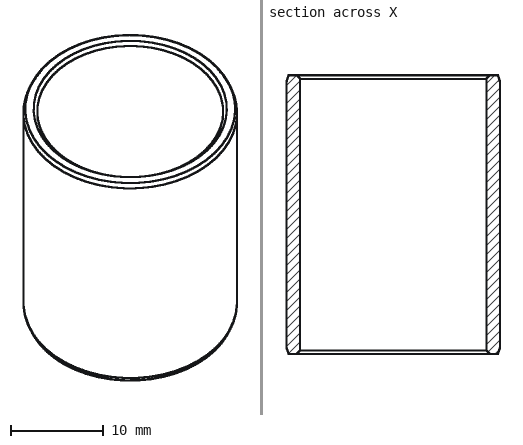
import cadquery as cq

length = 30.0
outer_diameter = 23.0
inner_diameter = 20.0

outer_chamfer_height = 0.6
outer_chamfer_depth = 0.2
inner_chamfer_size = 0.4

outer_radius = outer_diameter / 2
inner_radius = inner_diameter / 2
half_length = length / 2

wall_section = [
    (inner_radius, -half_length + inner_chamfer_size),
    (inner_radius + inner_chamfer_size, -half_length),
    (outer_radius - outer_chamfer_depth, -half_length),
    (outer_radius, -half_length + outer_chamfer_height),
    (outer_radius, half_length - outer_chamfer_height),
    (outer_radius - outer_chamfer_depth, half_length),
    (inner_radius + inner_chamfer_size, half_length),
    (inner_radius, half_length - inner_chamfer_size),
]

result = cq.Workplane("XZ").polyline(wall_section).close().revolve(360, (0, 0), (0, 1))